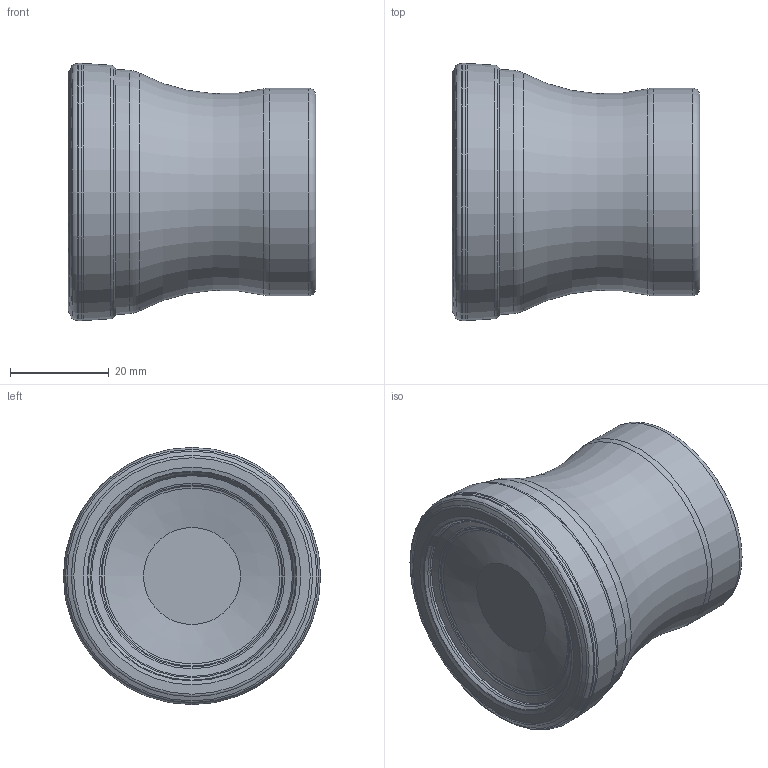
import cadquery as cq

LENGTH = 50.0

COLLAR_FRONT_RADIUS = 24.8
COLLAR_END_X = 12.4
COLLAR_END_RADIUS = 24.6
NECK_START_X = 14.4
NECK_START_RADIUS = 24.05
WAIST_X = 31.3
WAIST_RADIUS = 19.85
NECK_END_X = 39.5
NECK_END_RADIUS = 20.85
BAND_START_X = 40.7
BAND_RADIUS = 42.0 / 2
BACK_ROUND = 1.5

SPIGOT_FRONT_X = 1.7
STEP_TOP_X = 2.1
STEP_TOP_RADIUS = 18.75
STEP_SLOPE_TOP_X = 2.25
STEP_SLOPE_TOP_RADIUS = 18.4
STEP_SLOPE_BOTTOM_X = 2.35
STEP_SLOPE_BOTTOM_RADIUS = 18.2
STEP_BOTTOM_X = 2.5
STEP_BOTTOM_RADIUS = 17.75
FLOOR_X = 4.1
FLOOR_RADIUS = 9.8

RING_RADIUS = 26.0
FACE_OUTER_RADIUS = 23.9
FRONT_BEVEL_START_X = 0.2
FRONT_BEVEL_START_RADIUS = 24.4
FRONT_BEVEL_END_X = 0.55
FRONT_BEVEL_END_RADIUS = 25.25
FRONT_ROUND_MIDDLE_X = 0.8
FRONT_ROUND_MIDDLE_RADIUS = 25.6
FRONT_ROUND_END_X = 1.8
FRONT_ROUND_END_RADIUS = 25.98
CROWN_START_X = 2.05
CROWN_END_X = 2.65
TAPER_START_X = 3.05
TAPER_START_RADIUS = 25.98
TAPER_END_X = 8.55
TAPER_END_RADIUS = 25.63
BACK_BEVEL_START_X = 9.15
BACK_BEVEL_START_RADIUS = 25.4
RING_END_X = 9.55
RING_END_RADIUS = 24.95

FACE_INNER_RADIUS = 22.0
LIP_BEVEL_X = 0.2
LIP_BEVEL_RADIUS = 21.2
LIP_START_X = 0.27
LIP_START_RADIUS = 21.05
LIP_END_X = 0.85
LIP_END_RADIUS = 20.55
THROAT_END_X = 1.2
BORE_RADIUS = 20.3


def revolve_about_x(profile):
    """Turn an open (x, radius) profile, closed by its last side, about the X axis."""
    return profile.close().revolve(360, (0, 0, 0), (1, 0, 0))


def make_knob():
    profile = (
        cq.Workplane("XY")
        .moveTo(FLOOR_X, 0)
        .lineTo(FLOOR_X, FLOOR_RADIUS)
        .lineTo(STEP_BOTTOM_X, STEP_BOTTOM_RADIUS)
        .tangentArcPoint((STEP_SLOPE_BOTTOM_X, STEP_SLOPE_BOTTOM_RADIUS), relative=False)
        .lineTo(STEP_SLOPE_TOP_X, STEP_SLOPE_TOP_RADIUS)
        .tangentArcPoint((STEP_TOP_X, STEP_TOP_RADIUS), relative=False)
        .lineTo(SPIGOT_FRONT_X, BORE_RADIUS)
        .lineTo(RING_END_X, BORE_RADIUS)
        .lineTo(RING_END_X, COLLAR_FRONT_RADIUS)
        .lineTo(COLLAR_END_X, COLLAR_END_RADIUS)
        .tangentArcPoint((NECK_START_X, NECK_START_RADIUS), relative=False)
        .threePointArc((WAIST_X, WAIST_RADIUS), (NECK_END_X, NECK_END_RADIUS))
        .tangentArcPoint((BAND_START_X, BAND_RADIUS), relative=False)
        .lineTo(LENGTH - BACK_ROUND, BAND_RADIUS)
        .tangentArcPoint((LENGTH, BAND_RADIUS - BACK_ROUND), relative=False)
        .lineTo(LENGTH, 0)
    )
    return revolve_about_x(profile)


def make_ring():
    profile = (
        cq.Workplane("XY")
        .moveTo(0, FACE_INNER_RADIUS)
        .lineTo(0, FACE_OUTER_RADIUS)
        .tangentArcPoint((FRONT_BEVEL_START_X, FRONT_BEVEL_START_RADIUS), relative=False)
        .lineTo(FRONT_BEVEL_END_X, FRONT_BEVEL_END_RADIUS)
        .tangentArcPoint((FRONT_ROUND_MIDDLE_X, FRONT_ROUND_MIDDLE_RADIUS), relative=False)
        .tangentArcPoint((FRONT_ROUND_END_X, FRONT_ROUND_END_RADIUS), relative=False)
        .lineTo(CROWN_START_X, RING_RADIUS)
        .lineTo(CROWN_END_X, RING_RADIUS)
        .tangentArcPoint((TAPER_START_X, TAPER_START_RADIUS), relative=False)
        .lineTo(TAPER_END_X, TAPER_END_RADIUS)
        .tangentArcPoint((BACK_BEVEL_START_X, BACK_BEVEL_START_RADIUS), relative=False)
        .lineTo(RING_END_X, RING_END_RADIUS)
        .lineTo(RING_END_X, BORE_RADIUS)
        .lineTo(THROAT_END_X, BORE_RADIUS)
        .lineTo(LIP_END_X, LIP_END_RADIUS)
        .tangentArcPoint((LIP_START_X, LIP_START_RADIUS), relative=False)
        .lineTo(LIP_BEVEL_X, LIP_BEVEL_RADIUS)
    )
    return revolve_about_x(profile)


knob = make_knob()
ring = make_ring()

result = cq.Compound.makeCompound([knob.val(), ring.val()])